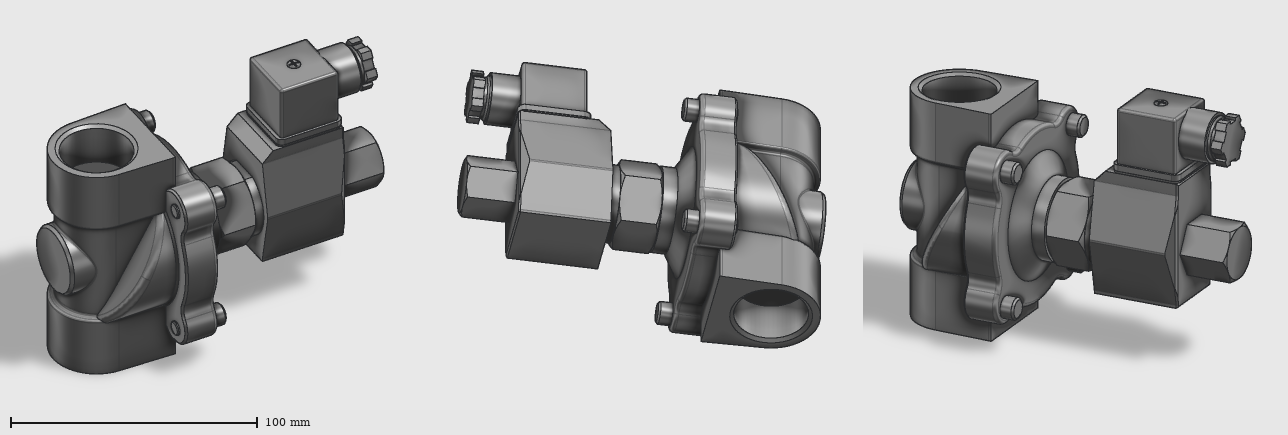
import cadquery as cq
import math


port_radius = 20.0
neck_radius = 17.2
wall_taper = math.radians(2)
body_back = 25.0
upright_strip = 1.2
body_half_height = 49.5
neck_half_height = 22.8
neck_root_fillet = 1.6
port_edge_fillet = 1.0
bore_radius = 15.2
bore_depth = 18.1
bore_mouth_radius = 16.8
bore_chamfer_depth = 1.2

boss_radius = 15.0
boss_front = -port_radius
boss_face_radius = 14.0
boss_chamfer_depth = 1.5
boss_root_fillet = 0.9

chamber_radius = 31.0
chamber_slope = math.radians(30)
chamber_plane_y = 4.4
chamber_edge_fillet = 3.0
chamber_root_flare = 0.9

flange_width = 75.9
flange_radius = flange_width / 2
flange_front = 20.6
flange_back = 35.8
flange_back_fillet = 1.8
flange_front_chamfer = 0.9
ear_offset = 27.7
ear_radius = 9.7
ear_blend_radius = 6.8
bolt_offset = 29.5
bolt_head_radius = 4.7
bolt_head_chamfer = 0.9
bolt_tip_radius = 3.1
bolt_tip_length = 1.0
bolt_tip_chamfer = 0.5
bonnet_radius = 27.1
collar_radius = 17.7
collar_front = 41.7

nut_front = 47.6
nut_back = 65.0
nut_across_flats = 32.3
seat_radius = 15.9
seat_across_flats = 29.0

coil_front = 68.8
coil_back = 106.8
coil_top = 31.2
coil_bottom = -22.8
coil_edge_half_width = 14.7
coil_half_width = 19.1
coil_waist_top = 2.0
coil_waist_bottom = 1.2
coil_shoulder = 26.2
coil_foot = -21.5
coil_top_chamfer = 5.0
coil_corner_cut = 3.7
coil_back_chamfer = 0.7

adapter_back = 127.3
adapter_across_flats = 22.1

plug_centre = 91.6
base_top = 34.9
base_length = 30.2
gasket_inset = 0.1
gasket_thickness = 0.9
base_width = 2 * (coil_edge_half_width - gasket_inset)
base_corner_radius = 3.0
plug_top = 58.8
plug_length = 26.8
plug_edge_fillet = 1.2
screw_radius = 2.8
screw_height = 0.6
screw_fillet = 0.5
screw_slot_length = 4.4
screw_slot_width = 0.6
screw_slot_depth = 0.5

gland_radius = 10.6
gland_axis_z = 48.2
gland_back = 116.8
gland_rim_radius = 9.5
gland_rim_back = 117.5
gland_neck_radius = 8.5
gland_neck_front = 118.5
cap_front = 119.8
cap_back = 124.5
cap_across_flats = 18.9
cap_notch_width = 4.4
cap_notch_depth = 1.2

SELECTION_MARGIN = 0.1
HALF_FLAT_ANGLE = math.pi / 6
CORNER_CHAMFER_ANGLE = math.radians(30)
HEXAGON_SIDES = 6


def turned(profile):
    """Revolve a closed (radius, y) profile about the Y axis."""
    return cq.Workplane("XY").polyline(profile).close().revolve(360, (0, 0, 0), (0, 1, 0))


def rod(radius, front, back):
    """Cylinder about the Y axis."""
    return cq.Workplane("XZ", origin=(0, front, 0)).circle(radius).extrude(front - back)


def hexagon(across_flats, front, back):
    """Hexagonal prism along Y with flats facing up and down."""
    corner_diameter = across_flats / math.cos(HALF_FLAT_ANGLE)
    section = cq.Workplane("XZ", origin=(0, front, 0)).polygon(HEXAGON_SIDES, corner_diameter)
    return section.extrude(front - back)


def chamfered_hexagon(across_flats, front, back, chamfer_front):
    """Hexagonal prism with its back corners, and optionally its front ones, turned off."""
    flat = across_flats / 2
    corner = flat / math.cos(HALF_FLAT_ANGLE)
    drop = (corner - flat) * math.tan(CORNER_CHAMFER_ANGLE)
    if chamfer_front:
        front_profile = [(0, front), (flat, front), (corner, front + drop)]
    else:
        front_profile = [(0, front), (corner, front)]
    envelope = turned(front_profile + [(corner, back - drop), (flat, back), (0, back)])
    return hexagon(across_flats, front, back).intersect(envelope)


def body_section(radius, bottom, top):
    """D-shaped column along Z: round at the front, tapered walls to a flat back."""
    tangent_x = radius * math.cos(wall_taper)
    tangent_y = -radius * math.sin(wall_taper)
    strip_y = body_back - upright_strip
    back_x = tangent_x + (strip_y - tangent_y) * math.tan(wall_taper)
    return (
        cq.Workplane("XY", origin=(0, 0, bottom))
        .moveTo(-back_x, body_back)
        .lineTo(-back_x, strip_y)
        .lineTo(-tangent_x, tangent_y)
        .threePointArc((0, -radius), (tangent_x, tangent_y))
        .lineTo(back_x, strip_y)
        .lineTo(back_x, body_back)
        .close()
        .extrude(top - bottom)
    )


def boss():
    """Short round boss on the front of the neck."""
    return turned([
        (0, boss_front), (boss_face_radius, boss_front),
        (boss_radius, boss_front + boss_chamfer_depth), (boss_radius, 0), (0, 0),
    ])


def body():
    """Neck between two port blocks, with the steps rounded, and the round front boss."""
    upper = body_section(port_radius, neck_half_height, body_half_height)
    upper = upper.faces("<Z").edges("not >Y").fillet(port_edge_fillet)
    column = body_section(neck_radius, -neck_half_height, neck_half_height)
    column = column.union(upper).union(upper.mirror("XY"))
    inner_limit = neck_radius + neck_root_fillet
    arc_limit = -(neck_radius + port_radius) / math.pi
    for z in (-neck_half_height, neck_half_height):
        root_edges = cq.selectors.BoxSelector(
            (-inner_limit, arc_limit, z - SELECTION_MARGIN),
            (inner_limit, body_back - SELECTION_MARGIN, z + SELECTION_MARGIN),
        )
        column = column.edges(root_edges).fillet(neck_root_fillet)
    boss_root = cq.selectors.BoxSelector(
        (-boss_radius, -neck_radius, -boss_radius - SELECTION_MARGIN),
        (boss_radius, -SELECTION_MARGIN, boss_radius + SELECTION_MARGIN),
    )
    return column.union(boss()).edges("not %LINE").edges(boss_root).fillet(boss_root_fillet)


def bore():
    """Cutter for the upper port: blind hole with a chamfered mouth."""
    floor = body_half_height - bore_depth
    chamfer_start = body_half_height - bore_chamfer_depth
    profile = [
        (0, floor), (bore_radius, floor), (bore_radius, chamfer_start),
        (bore_mouth_radius, body_half_height), (0, body_half_height),
    ]
    return cq.Workplane("XZ").polyline(profile).close().revolve(360, (0, 0, 0), (0, 1, 0))


def chamber():
    """Cylinder behind the sloping plane, with a small flare where it meets the flange."""
    barrel = rod(chamber_radius, -2 * port_radius, flange_back)
    sloping_plane = cq.Plane(
        origin=(0, chamber_plane_y, 0),
        xDir=(1, 0, 0),
        normal=(0, -math.cos(chamber_slope), math.sin(chamber_slope)),
    )
    reach = 4 * chamber_radius
    waste = cq.Workplane(sloping_plane).rect(reach, reach).extrude(reach)
    barrel = barrel.cut(waste)
    sloping_face = cq.selectors.DirectionMinMaxSelector(sloping_plane.zDir, True)
    barrel = barrel.faces(sloping_face).edges().fillet(chamber_edge_fillet)
    root = turned([
        (0, flange_front - chamber_root_flare), (chamber_radius, flange_front - chamber_root_flare),
        (chamber_radius + chamber_root_flare, flange_front), (0, flange_front),
    ])
    return barrel.union(root)


def polar(radius, angle):
    """Cartesian point at a radius and an angle in radians."""
    return (radius * math.cos(angle), radius * math.sin(angle))


def flange():
    """Disc with four ears, joined by concave blends tangent to both."""
    ear_distance = ear_offset * math.sqrt(2)
    blend_distance = flange_radius + ear_blend_radius
    touching = ear_radius + ear_blend_radius
    spread = math.acos(
        (blend_distance**2 + ear_distance**2 - touching**2) / (2 * blend_distance * ear_distance)
    )

    def between(start, end, fraction):
        return tuple(a + (b - a) * fraction for a, b in zip(start, end))

    def blend_points(ear_angle, blend_angle):
        """Tangent point on the disc, middle of the blend, tangent point on the ear."""
        centre = polar(blend_distance, blend_angle)
        ear_centre = polar(ear_distance, ear_angle)
        on_disc = polar(flange_radius, blend_angle)
        on_ear = between(centre, ear_centre, ear_blend_radius / touching)
        chord = between(on_disc, on_ear, 0.5)
        chord_distance = math.dist(centre, chord)
        return on_disc, between(centre, chord, ear_blend_radius / chord_distance), on_ear

    quarter = math.pi / 2
    first_ear = quarter / 2
    outline = cq.Workplane("XZ", origin=(0, flange_front, 0))
    outline = outline.moveTo(*polar(flange_radius, spread - first_ear))
    for index in range(4):
        disc_middle = index * quarter
        ear_angle = disc_middle + first_ear
        disc_end, blend_in, ear_start = blend_points(ear_angle, ear_angle - spread)
        disc_start, blend_out, ear_end = blend_points(ear_angle, ear_angle + spread)
        outline = (
            outline.threePointArc(polar(flange_radius, disc_middle), disc_end)
            .threePointArc(blend_in, ear_start)
            .threePointArc(polar(ear_distance + ear_radius, ear_angle), ear_end)
            .threePointArc(blend_out, disc_start)
        )
    plate = outline.close().extrude(flange_front - flange_back)
    plate = plate.faces(">Y").edges().fillet(flange_back_fillet)
    return plate.faces("<Y").edges().chamfer(flange_front_chamfer)


def bolts():
    """Four bolts: heads behind the flange and tips just proud of its front."""
    head = rod(bolt_head_radius, flange_back - flange_back_fillet, collar_front)
    head = head.faces(">Y").edges().chamfer(bolt_head_chamfer)
    tip = rod(bolt_tip_radius, flange_front - bolt_tip_length, flange_back)
    tip = tip.faces("<Y").edges().chamfer(bolt_tip_chamfer)
    bolt = head.union(tip)
    places = [(x, 0, z) for x in (-bolt_offset, bolt_offset) for z in (-bolt_offset, bolt_offset)]
    group = bolt.translate(places[0])
    for place in places[1:]:
        group = group.union(bolt.translate(place))
    return group


def bonnet():
    """Cone from the flange up to the collar under the nut."""
    return turned([
        (0, flange_front), (bonnet_radius, flange_front), (bonnet_radius, flange_back),
        (collar_radius, collar_front), (collar_radius, nut_front), (0, nut_front),
    ])


def nut_and_seat():
    """Hexagonal nut and the round seat with two flats that carries the coil."""
    nut = chamfered_hexagon(nut_across_flats, nut_front, nut_back, True)
    flats = cq.Workplane("XY").box(2 * seat_radius, coil_front - nut_back, seat_across_flats)
    flats = flats.translate((0, (coil_front + nut_back) / 2, 0))
    return nut.union(rod(seat_radius, nut_back, coil_front).intersect(flats))


def coil():
    """Block that bulges to a waist at each side, with its back corners cut off."""
    right_side = [
        (coil_edge_half_width, coil_bottom), (coil_edge_half_width, coil_foot),
        (coil_half_width, coil_waist_bottom), (coil_half_width, coil_waist_top),
        (coil_edge_half_width, coil_shoulder), (coil_edge_half_width, coil_top),
    ]
    left_side = [(-x, z) for x, z in reversed(right_side)]
    block = cq.Workplane("XZ", origin=(0, coil_front, 0)).polyline(right_side + left_side).close()
    block = block.extrude(coil_front - coil_back)
    block = block.edges("<Y and >Z").chamfer(coil_top_chamfer)
    plan = (
        cq.Workplane("XY", origin=(0, 0, coil_bottom))
        .rect(2 * coil_half_width, 2 * (coil_back - coil_front))
        .extrude(coil_top - coil_bottom)
        .edges("|Z and >Y").chamfer(coil_corner_cut)
        .translate((0, coil_front, 0))
    )
    block = block.intersect(plan)
    return block.faces(">Y").edges().chamfer(coil_back_chamfer)


def adapter():
    """Hexagonal stub out of the back of the coil."""
    return chamfered_hexagon(adapter_across_flats, coil_back, adapter_back, False)


def connector():
    """Square plug on a wider base, standing on a thin gasket on the coil."""
    base_bottom = coil_top + gasket_thickness
    base = (
        cq.Workplane("XY", origin=(0, plug_centre, base_bottom))
        .rect(base_width, base_length)
        .extrude(base_top - base_bottom)
        .edges("|Z").fillet(base_corner_radius)
    )
    gasket = (
        cq.Workplane("XY", origin=(0, plug_centre, coil_top))
        .rect(base_width - 2 * gasket_inset, base_length - 2 * gasket_inset)
        .extrude(gasket_thickness)
        .edges("|Z").fillet(base_corner_radius)
    )
    plug = (
        cq.Workplane("XY", origin=(0, plug_centre, coil_top))
        .rect(plug_length, plug_length)
        .extrude(plug_top - coil_top)
        .edges("|Z or >Z").fillet(plug_edge_fillet)
    )
    return base.union(gasket).union(plug)


def screw():
    """Cross-slotted screw head on top of the plug."""
    top = plug_top + screw_height
    head = (
        cq.Workplane("XY", origin=(0, plug_centre, plug_top))
        .circle(screw_radius)
        .extrude(screw_height)
        .faces(">Z").edges().fillet(screw_fillet)
    )
    for length, width in (
        (screw_slot_length, screw_slot_width),
        (screw_slot_width, screw_slot_length),
    ):
        slot = cq.Workplane("XY", origin=(0, plug_centre, top)).rect(length, width)
        head = head.cut(slot.extrude(-screw_slot_depth))
    return head


def cable_gland():
    """Barrel out of the back of the plug, ending in a notched hexagonal cap."""
    barrel = turned([
        (0, plug_centre), (gland_radius, plug_centre), (gland_radius, gland_back),
        (gland_rim_radius, gland_back), (gland_rim_radius, gland_rim_back),
        (gland_neck_radius, gland_neck_front), (gland_neck_radius, cap_front), (0, cap_front),
    ])
    cap = hexagon(cap_across_flats, cap_front, cap_back)
    notch = cq.Workplane("XY").box(cap_notch_width, cap_back - cap_front, 2 * cap_notch_depth)
    notch = notch.translate((0, (cap_front + cap_back) / 2, cap_across_flats / 2))
    for index in range(HEXAGON_SIDES):
        cap = cap.cut(notch.rotate((0, 0, 0), (0, 1, 0), 360 / HEXAGON_SIDES * index))
    return barrel.union(cap).translate((0, 0, gland_axis_z))


upper_bore = bore()
result = body()
for feature in (
    chamber(), flange(), bolts(), bonnet(), nut_and_seat(), coil(),
    adapter(), connector(), screw(), cable_gland(),
):
    result = result.union(feature)
result = result.cut(upper_bore).cut(upper_bore.mirror("XY"))